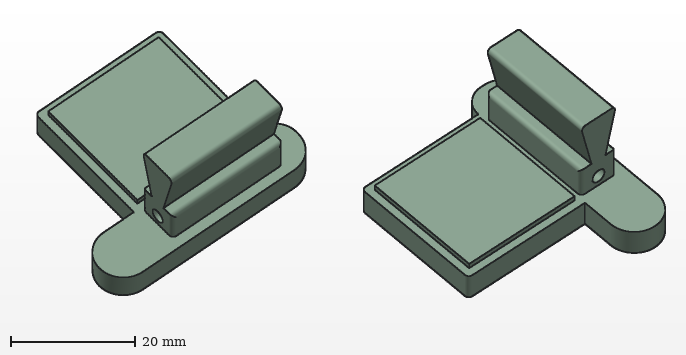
import cadquery as cq

base_length_x = 35.0
strip_length_y = 41.5
strip_width = 10.0
base_height = 5.0
plate_front_y = 11.3
plate_depth_y = 26.0
edge_radius = 0.85
strip_end_radius = strip_width / 2
strip_inner_back_radius = 4.3

pad_inset = 1.5
pad_length_x = 22.6
pad_height = 1.0

clamp_left_x = 25.45
clamp_width = 7.5
block_top_z = 11.0
wedge_top_z = 21.0
waist_width = 3.0

hole_diameter = 2.57
hole_center_z = 7.15
hole_depth = 5.0

strip_left_x = base_length_x - strip_width
pad_front_y = plate_front_y + pad_inset
pad_depth_y = plate_depth_y - 2 * pad_inset
clamp_center_x = clamp_left_x + clamp_width / 2


def box_at(x, y, z, length, depth, height):
    """Box with its lowest corner at (x, y, z)."""
    return cq.Workplane("XY").box(length, depth, height, centered=False).translate((x, y, z))


def make_base():
    plate = box_at(0, plate_front_y, 0, base_length_x - strip_width / 2, plate_depth_y, base_height)
    plate = plate.edges("|Z and <X").fillet(edge_radius)
    strip = box_at(strip_left_x, 0, 0, strip_width, strip_length_y, base_height)
    strip = strip.edges("|Z and <X and >Y").fillet(strip_inner_back_radius)
    strip = strip.edges("|Z and >X and >Y").fillet(strip_end_radius)
    front_end = (
        cq.Workplane("XY")
        .center(strip_left_x + strip_end_radius, strip_end_radius)
        .circle(strip_end_radius)
        .extrude(base_height)
    )
    square_end = box_at(strip_left_x, 0, 0, strip_width, strip_end_radius, base_height)
    return plate.union(strip.cut(square_end).union(front_end))


def make_pad():
    return box_at(pad_inset, pad_front_y, base_height, pad_length_x, pad_depth_y, pad_height)


def make_block():
    block = box_at(
        clamp_left_x, pad_front_y, base_height, clamp_width, pad_depth_y, block_top_z - base_height
    )
    block_edges = "|Z or (|Y and >Z)"
    return block.edges(block_edges).fillet(edge_radius)


def make_wedge():
    half_waist = waist_width / 2
    half_top = clamp_width / 2
    wedge = (
        cq.Workplane("XZ", origin=(clamp_center_x, pad_front_y, 0))
        .polyline([
            (-half_waist, block_top_z),
            (half_waist, block_top_z),
            (half_top, wedge_top_z),
            (-half_top, wedge_top_z),
        ])
        .close()
        .extrude(-pad_depth_y)
    )
    return wedge.edges("|Y and >Z").fillet(edge_radius)


def make_pin_hole():
    return (
        cq.Workplane("XZ", origin=(clamp_center_x, pad_front_y, hole_center_z))
        .circle(hole_diameter / 2)
        .extrude(-hole_depth)
    )


clamp = make_block().union(make_wedge()).cut(make_pin_hole())
result = make_base().union(make_pad()).union(clamp)